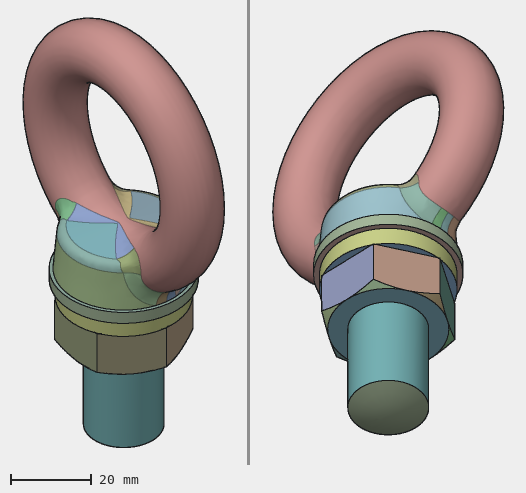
import cadquery as cq
import math

tip_height = 2.4
shank_radius = 10.0
hex_bottom = 28.7
hex_height = 13.2
hex_across_flats = 30.0
hex_chamfer_angle = 30.0

collar_radius = 17.1
collar_height = 5.1
flange_radius = 18.5
flange_height = 3.4

total_height = 121.0
ring_outer_radius = 35.9
tube_radius = 8.0
boss_base_radius = 17.5
boss_top_radius = 16.5
boss_edge_height = 13.0
boss_edge_fillet = 2.7
ring_blend_radius = 6.0
surface_tolerance = 0.01

hex_top = hex_bottom + hex_height
hex_across_corners = hex_across_flats / math.cos(math.radians(30))
collar_top = hex_top + collar_height
flange_top = collar_top + flange_height
ring_mean_radius = ring_outer_radius - tube_radius
ring_center = total_height - ring_outer_radius
boss_apex = ring_center - ring_mean_radius + tube_radius


def disc(radius, bottom, height):
    return cq.Workplane("XY").workplane(offset=bottom).circle(radius).extrude(height)


def domed_shank():
    """Round shank with a shallow spherical tip at Z = 0."""
    dome_radius = (shank_radius**2 + tip_height**2) / (2 * tip_height)
    half_arc = math.asin(shank_radius / dome_radius) / 2
    dome_mid = (dome_radius * math.sin(half_arc), dome_radius * (1 - math.cos(half_arc)))
    return (
        cq.Workplane("XZ")
        .moveTo(0, 0)
        .threePointArc(dome_mid, (shank_radius, tip_height))
        .lineTo(shank_radius, hex_bottom)
        .lineTo(0, hex_bottom)
        .close()
        .revolve(360, (0, 0), (0, 1))
    )


def hexagon():
    """Hexagon with corners on the X axis and a conical chamfer underneath."""
    prism = (
        cq.Workplane("XY")
        .workplane(offset=hex_bottom)
        .polygon(6, hex_across_corners)
        .extrude(hex_height)
    )
    flat_radius = hex_across_flats / 2
    corner_radius = hex_across_corners / 2
    chamfer_height = (corner_radius - flat_radius) * math.tan(math.radians(hex_chamfer_angle))
    chamfer_envelope = (
        cq.Workplane("XZ")
        .moveTo(0, hex_bottom)
        .lineTo(flat_radius, hex_bottom)
        .lineTo(corner_radius, hex_bottom + chamfer_height)
        .lineTo(corner_radius, hex_top)
        .lineTo(0, hex_top)
        .close()
        .revolve(360, (0, 0), (0, 1))
    )
    return prism.intersect(chamfer_envelope)


def eye_boss():
    """Tapered boss with a shallow conical top and a rounded rim."""
    return (
        cq.Workplane("XZ")
        .moveTo(0, flange_top)
        .lineTo(boss_base_radius, flange_top)
        .lineTo(boss_top_radius, flange_top + boss_edge_height)
        .lineTo(0, boss_apex)
        .close()
        .revolve(360, (0, 0), (0, 1))
        .edges(cq.selectors.RadiusNthSelector(0))
        .fillet(boss_edge_fillet)
    )


def eye_ring():
    return (
        cq.Workplane("XY")
        .center(ring_mean_radius, 0)
        .circle(tube_radius)
        .revolve(360, (-ring_mean_radius, 0), (-ring_mean_radius, 1))
        .translate((0, 0, ring_center))
    )


def distance_to_ring_axis(point):
    """Distance from a point to the circle that runs along the middle of the tube."""
    radial_offset = math.hypot(point.x, point.z - ring_center) - ring_mean_radius
    return math.hypot(radial_offset, point.y)


def is_ring_junction(edge):
    """True for a curved edge where the tube surface meets the boss."""
    midpoint = edge.positionAt(0.5)
    on_tube = abs(distance_to_ring_axis(midpoint) - tube_radius) < surface_tolerance
    above_base = midpoint.z > flange_top + surface_tolerance
    return on_tube and above_base


def lifting_eye():
    """Boss and ring in one piece, cut flat where it rests on the flange."""
    eye_body = eye_boss().union(eye_ring())
    blended = eye_body.edges("%BSPLINE").filter(is_ring_junction).fillet(ring_blend_radius)
    return blended.cut(disc(flange_radius, collar_top, flange_height))


eye = lifting_eye()
flange = disc(flange_radius, collar_top, flange_height)
collar = disc(collar_radius, hex_top, collar_height)
hex_bolt = domed_shank().union(hexagon())

result = cq.Compound.makeCompound([eye.val(), flange.val(), collar.val(), hex_bolt.val()])